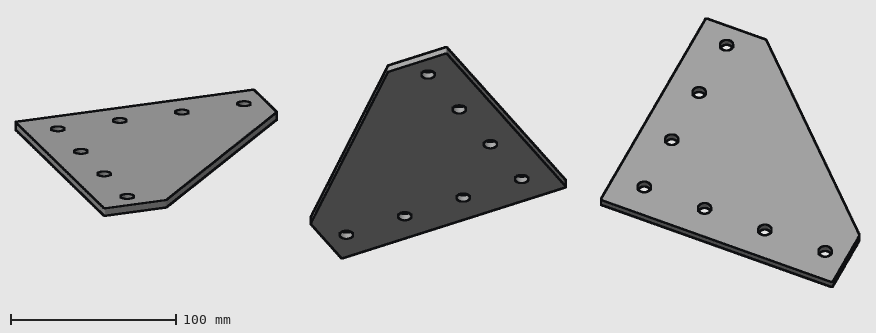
import cadquery as cq

side = 154.0
thickness = 5.0
arm_width = 40.0

hole_diameter = 8.2
hole_pitch = arm_width
hole_edge_distance = arm_width / 2
holes_per_arm = 4

corner_radius = 1.0


def plate():
    """Square plate with one corner cut off diagonally."""
    outline = [
        (0, 0),
        (side, 0),
        (side, arm_width),
        (arm_width, side),
        (0, side),
    ]
    return cq.Workplane("XY").polyline(outline).close().extrude(thickness)


def hole_centers():
    """Hole centers along both arms, with the shared corner hole listed once."""
    row = [hole_edge_distance + i * hole_pitch for i in range(holes_per_arm)]
    along_x = [(x, hole_edge_distance) for x in row]
    along_y = [(hole_edge_distance, y) for y in row[1:]]
    return along_x + along_y


holes = cq.Workplane("XY").pushPoints(hole_centers()).circle(hole_diameter / 2).extrude(thickness)
result = plate().edges("|Z").fillet(corner_radius).cut(holes)